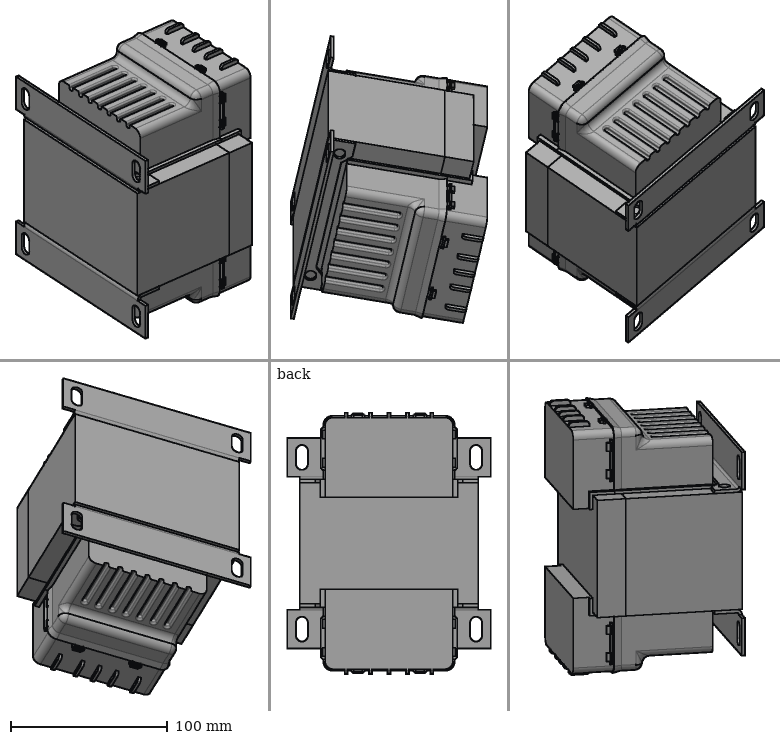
import cadquery as cq
import math


CORE_WIDTH = 114.0
CORE_DEPTH = 94.8
CORE_HEIGHT = 77.5
CORE_SPLIT_Y = 76.1
CORE_TOP = CORE_HEIGHT / 2

SHEET = 2.2
BEND_RADIUS = 3.7
PLATE_WIDTH = 130.0
PLATE_TOP = 67.3
PLATE_BOTTOM = CORE_TOP + BEND_RADIUS
LEG_DEPTH = 18.0
LEG_STEP = 6.2
LEG_NOTCH_HALF = 47.0
LEG_HOLE_DIAMETER = 7.3
LEG_HOLE_X = 47.4
LEG_HOLE_Y = 9.5
SLOT_LENGTH = 15.7
SLOT_WIDTH = 7.5
SLOT_X = 55.5

BODY_WIDTH = 81.6
BODY_TOP = 80.3
CORNER_RADIUS = 5.0
FLANGE_WIDTH = 87.8
FLANGE_THICKNESS = 2.0
FLANGE_TOP = CORE_TOP + FLANGE_THICKNESS

COVER_FRONT = 15.5
COVER_BACK = 80.5
LOW_TOP = 71.5
SHOULDER_Y = 66.0
EDGE_MARGIN = 0.2
LIP_DEPTH = 5.0
LIP_FLARE = 1.2

GROOVE_COUNT = 7
GROOVE_PITCH = 9.5
GROOVE_DEPTH = 3.2
GROOVE_HALF_WIDTH = 1.55
GROOVE_RADIUS = 1.25
GROOVE_END = 53.9

BLOCK_BACK = 107.0
BLOCK_BOTTOM = 29.4
RIB_XS = (-27.4, -11.8, 0, 11.8, 27.4)
RIB_WIDTH = 2.0
RIB_LENGTH = 13.7
RIB_TOP = 83.5
RIB_HEIGHT = RIB_TOP - BODY_TOP
RIB_END_RADIUS = 2.5

CLIP_PLATE_Y = 82.5
CLIP_PLATE_THICKNESS = 1.3
CLIP_PLATE_PROUD = 2.7
CLIP_CHAMFER = 1.3
CLIP_ARM_BACK = 85.3
CLIP_ARM_WIDTH = 5.5
CLIP_ARM_PROUD = 1.5
TOP_CLIP_X = 19.9
TOP_CLIP_LENGTH = 8.5
SIDE_CLIP_Z = 60.5
SIDE_CLIP_LENGTH = 27.5
SIDE_ARM_SPACING = 18.0


def block(width, y_range, z_range):
    """Box centred on X = 0 between the given Y and Z limits."""
    return (cq.Workplane("XY")
            .box(width, y_range[1] - y_range[0], z_range[1] - z_range[0], centered=(True, False, False))
            .translate((0, y_range[0], z_range[0])))


def rounded_block(y_range, z_range):
    """Block of body width with its two upper edges along Y rounded."""
    return block(BODY_WIDTH, y_range, z_range).edges("|Y and >Z").fillet(CORNER_RADIUS)


def make_core_stack():
    return block(CORE_WIDTH, (0, CORE_SPLIT_Y), (-CORE_TOP, CORE_TOP))


def make_core_yoke():
    return block(CORE_WIDTH, (CORE_SPLIT_Y, CORE_DEPTH), (-CORE_TOP, CORE_TOP))


def make_bracket():
    """L-shaped sheet: wide slotted plate at Y = 0 and a leg lying on the core."""
    bent_leg = (cq.Workplane("YZ")
                .moveTo(LEG_DEPTH, CORE_TOP)
                .lineTo(BEND_RADIUS, CORE_TOP)
                .radiusArc((0, PLATE_BOTTOM), BEND_RADIUS)
                .lineTo(SHEET, PLATE_BOTTOM)
                .radiusArc((BEND_RADIUS, CORE_TOP + SHEET), -(BEND_RADIUS - SHEET))
                .lineTo(LEG_DEPTH, CORE_TOP + SHEET)
                .close()
                .extrude(CORE_WIDTH / 2, both=True))
    plate = block(PLATE_WIDTH, (0, SHEET), (PLATE_BOTTOM, PLATE_TOP))
    step_y = LEG_DEPTH - LEG_STEP
    notch = (cq.Workplane("XY", origin=(0, 0, CORE_TOP))
             .polyline([(-LEG_NOTCH_HALF, LEG_DEPTH), (-LEG_NOTCH_HALF + LEG_STEP, step_y),
                        (LEG_NOTCH_HALF - LEG_STEP, step_y), (LEG_NOTCH_HALF, LEG_DEPTH)])
             .close()
             .extrude(SHEET))
    holes = (cq.Workplane("XY", origin=(0, LEG_HOLE_Y, CORE_TOP))
             .pushPoints([(-LEG_HOLE_X, 0), (LEG_HOLE_X, 0)])
             .circle(LEG_HOLE_DIAMETER / 2)
             .extrude(SHEET))
    slots = (cq.Workplane("XZ", origin=(0, 0, (PLATE_BOTTOM + PLATE_TOP) / 2))
             .pushPoints([(-SLOT_X, 0), (SLOT_X, 0)])
             .slot2D(SLOT_LENGTH, SLOT_WIDTH, 90)
             .extrude(-SHEET))
    return bent_leg.union(plate).cut(notch).cut(holes).cut(slots)


def make_shell():
    """Low front and high back joined by an S-shaped shoulder that turns around both corners."""
    low_part = rounded_block((COVER_FRONT, COVER_BACK), (CORE_TOP, LOW_TOP))
    high_front = SHOULDER_Y - CORNER_RADIUS
    rounded_base = LOW_TOP - CORNER_RADIUS
    high_part = (block(BODY_WIDTH, (high_front, COVER_BACK), (rounded_base, BODY_TOP))
                 .edges("|Z and <Y")
                 .fillet(CORNER_RADIUS))
    foot_zone = cq.selectors.BoxSelector(
        (-BODY_WIDTH, high_front - EDGE_MARGIN, rounded_base),
        (BODY_WIDTH, SHOULDER_Y - EDGE_MARGIN, LOW_TOP + EDGE_MARGIN))
    shell = low_part.union(high_part).edges(foot_zone).fillet(CORNER_RADIUS)

    mid_z = (BODY_TOP + LOW_TOP) / 2
    rounded_top = (block(BODY_WIDTH, (high_front, COVER_BACK), (CORE_TOP, BODY_TOP))
                   .edges("|Z and <Y")
                   .fillet(CORNER_RADIUS)
                   .faces(">Z")
                   .edges("not >Y")
                   .fillet(CORNER_RADIUS))
    foot_space = block(BODY_WIDTH, (COVER_FRONT, SHOULDER_Y), (CORE_TOP, mid_z))
    return shell.intersect(rounded_top.union(foot_space))


def make_lip():
    """Flared rim at the back of the cover."""
    flare_angle = math.degrees(math.atan(LIP_FLARE / LIP_DEPTH))
    half = BODY_WIDTH / 2
    lip = (cq.Workplane("XZ", origin=(0, COVER_BACK - LIP_DEPTH, 0))
           .moveTo(-half, 0)
           .lineTo(-half, BODY_TOP - CORNER_RADIUS)
           .radiusArc((-half + CORNER_RADIUS, BODY_TOP), CORNER_RADIUS)
           .lineTo(half - CORNER_RADIUS, BODY_TOP)
           .radiusArc((half, BODY_TOP - CORNER_RADIUS), CORNER_RADIUS)
           .lineTo(half, 0)
           .close()
           .extrude(-LIP_DEPTH, taper=-flare_angle))
    space_above_core = block(FLANGE_WIDTH, (COVER_FRONT, COVER_BACK), (CORE_TOP, BODY_TOP + LIP_FLARE))
    return lip.intersect(space_above_core)


def make_groove():
    """Cutter for one groove: rounded rim, rounded floor corners and a round end."""
    rim_half = GROOVE_HALF_WIDTH + GROOVE_RADIUS
    floor_half = GROOVE_HALF_WIDTH - GROOVE_RADIUS

    def half_profile():
        return (cq.Workplane("XZ")
                .lineTo(rim_half, 0)
                .radiusArc((GROOVE_HALF_WIDTH, -GROOVE_RADIUS), -GROOVE_RADIUS)
                .lineTo(GROOVE_HALF_WIDTH, GROOVE_RADIUS - GROOVE_DEPTH)
                .radiusArc((floor_half, -GROOVE_DEPTH), GROOVE_RADIUS)
                .lineTo(0, -GROOVE_DEPTH)
                .close())

    end_y = GROOVE_END - rim_half
    half_channel = half_profile().extrude(end_y - COVER_FRONT)
    round_end = half_profile().revolve(360, (0, 0, 0), (0, 1, 0))
    groove = half_channel.union(half_channel.mirror("YZ")).union(round_end)
    return groove.translate((0, end_y, LOW_TOP))


def make_cover():
    flange = block(FLANGE_WIDTH, (COVER_FRONT, COVER_BACK), (CORE_TOP, FLANGE_TOP))
    cover = make_shell().union(make_lip()).union(flange)
    groove = make_groove()
    for index in range(GROOVE_COUNT):
        x = (index - (GROOVE_COUNT - 1) / 2) * GROOVE_PITCH
        cover = cover.cut(groove.translate((x, 0, 0)))
    return cover


def make_rib():
    """Rib standing on Z = 0, its back end at Y = 0, both upper ends rounded."""
    return (block(RIB_WIDTH, (-RIB_LENGTH, 0), (0, RIB_HEIGHT))
            .edges("|X and >Z")
            .fillet(RIB_END_RADIUS))


def make_clip(plate_length, arm_offsets):
    """Clip standing on Z = 0: a cross plate along X, held by arms along Y."""
    plate = (block(plate_length,
                   (CLIP_PLATE_Y - CLIP_PLATE_THICKNESS / 2, CLIP_PLATE_Y + CLIP_PLATE_THICKNESS / 2),
                   (0, CLIP_PLATE_PROUD))
             .edges("|Y and >Z")
             .chamfer(CLIP_CHAMFER))
    arm = block(CLIP_ARM_WIDTH, (COVER_BACK, CLIP_ARM_BACK), (0, CLIP_ARM_PROUD))
    clip = plate
    for offset in arm_offsets:
        clip = clip.union(arm.translate((offset, 0, 0)))
    return clip


def make_terminal_block():
    terminal_block = rounded_block((COVER_BACK, BLOCK_BACK), (BLOCK_BOTTOM, BODY_TOP))
    flange = block(FLANGE_WIDTH, (COVER_BACK, CORE_DEPTH + FLANGE_THICKNESS), (BLOCK_BOTTOM, FLANGE_TOP))
    core_space = block(CORE_WIDTH, (0, CORE_DEPTH), (-CORE_TOP, CORE_TOP))
    terminal_block = terminal_block.union(flange).cut(core_space)

    rib = make_rib()
    for x in RIB_XS:
        terminal_block = terminal_block.union(rib.translate((x, BLOCK_BACK, BODY_TOP)))

    top_clip = make_clip(TOP_CLIP_LENGTH, [0])
    side_clip = make_clip(SIDE_CLIP_LENGTH, [-SIDE_ARM_SPACING / 2, SIDE_ARM_SPACING / 2])
    for side in (-1, 1):
        on_top = top_clip.translate((side * TOP_CLIP_X, 0, BODY_TOP))
        on_side = (side_clip
                   .rotate((0, 0, 0), (0, 1, 0), side * 90)
                   .translate((side * BODY_WIDTH / 2, 0, SIDE_CLIP_Z)))
        terminal_block = terminal_block.union(on_top).union(on_side)
    return terminal_block


bodies = [make_core_stack().val(), make_core_yoke().val()]
for upper in (make_bracket(), make_cover(), make_terminal_block()):
    lower = upper.mirror("XY")
    bodies.extend(upper.solids().vals() + lower.solids().vals())

result = cq.Compound.makeCompound(bodies)